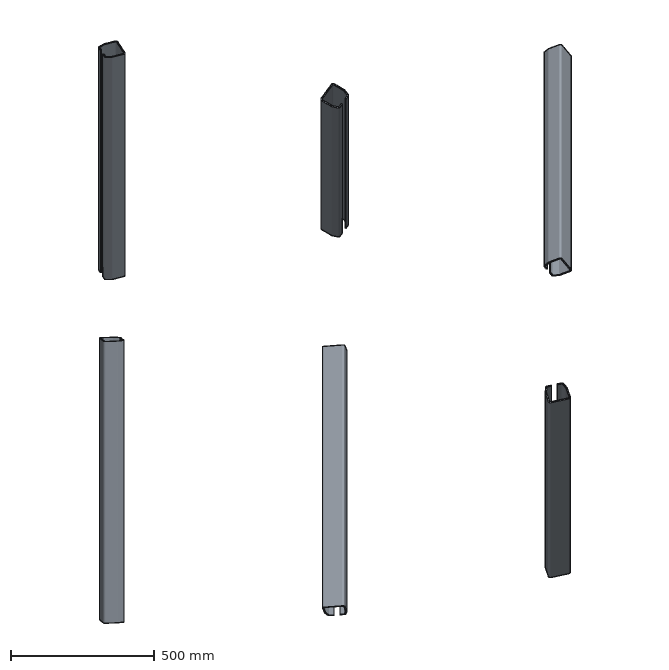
import cadquery as cq

length = 1000.0
width = 80.0
depth = 75.0

wall = 5.0
bend_radius = 8.0
lip_bend_radius = 6.0
straight_depth = 50.0
front_width = 61.0
slot_width = 22.0

back_y = depth / 2
front_y = -depth / 2
taper_y = back_y - straight_depth


def outer_body():
    """Solid bar with the rail's rounded outer outline."""
    outline = [
        (-width / 2, back_y),
        (width / 2, back_y),
        (width / 2, taper_y),
        (front_width / 2, front_y),
        (-front_width / 2, front_y),
        (-width / 2, taper_y),
    ]
    bar = cq.Workplane("XY").polyline(outline).close().extrude(length)
    bar = bar.faces("<Y").edges("|Z").fillet(lip_bend_radius)
    side_bends = cq.selectors.BoxSelector(
        (-width, taper_y - wall, 0),
        (width, depth, length),
    )
    return bar.edges("|Z").edges(side_bends).fillet(bend_radius)


def inner_cavity(body):
    """Full-length core, one wall thickness inside the outer outline."""
    return body.faces("<Z").wires().toPending().offset2D(-wall).extrude(length, combine=False)


def front_slot():
    """Full-length opening between the two front lips."""
    return (
        cq.Workplane("XY")
        .center(0, front_y)
        .rect(slot_width, 4 * wall)
        .extrude(length)
    )


body = outer_body()
result = body.cut(inner_cavity(body)).cut(front_slot())